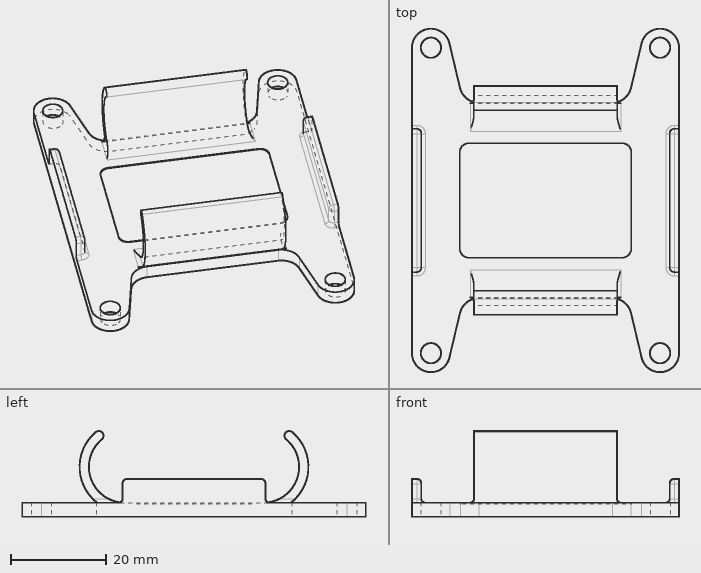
import cadquery as cq
import math

plate_thickness = 3.0
plate_width = 56.0
plate_length = 72.0
ear_radius = 4.0
hole_diameter = 4.2
hole_x = plate_width / 2 - ear_radius
hole_y = plate_length / 2 - ear_radius
waist_half_length = 20.5
waist_half_width = 14.0
waist_radius = 4.0

pocket_width = 36.0
pocket_length = 24.0
pocket_depth = 0.2
pocket_corner_radius = 2.0

clip_width = 30.0
clip_thickness = 2.0
clip_inner_radius = 7.5
clip_outer_radius = clip_inner_radius + clip_thickness
clip_mean_radius = clip_inner_radius + clip_thickness / 2
clip_reach = 24.0
clip_height = 18.03
clip_center_y = clip_reach - clip_outer_radius
clip_center_z = plate_thickness + clip_inner_radius
tip_rise = clip_height - clip_thickness / 2 - clip_center_z
tip_angle = math.asin(tip_rise / clip_mean_radius)

wall_length = 30.0
wall_thickness = 2.0
wall_top = 8.0
wall_rounding = 1.0

root_fillet = 0.8


def mirror_both_ways(solid):
    """Return the solid with its copies mirrored across X, Y and both."""
    pair = solid.union(solid.mirror("YZ"))
    return pair.union(pair.mirror("XZ"))


def make_plate():
    """Plate with four rounded ears and a waisted edge between them."""
    fillet_y = waist_half_length + waist_radius
    run = hole_x - waist_half_width
    rise = hole_y - fillet_y
    center_angle = math.atan2(rise, run)
    flank_angle = center_angle + math.asin((ear_radius + waist_radius) / math.hypot(run, rise))
    normal_x = math.sin(flank_angle)
    normal_y = math.cos(flank_angle)
    ear_tangent = (hole_x - ear_radius * normal_x, hole_y + ear_radius * normal_y)
    waist_tangent = (
        waist_half_width + waist_radius * normal_x,
        fillet_y - waist_radius * normal_y,
    )
    waist_mid_angle = (flank_angle - math.pi) / 2
    waist_mid = (
        waist_half_width + waist_radius * math.cos(waist_mid_angle),
        fillet_y + waist_radius * math.sin(waist_mid_angle),
    )
    quadrant = (
        cq.Workplane("XY")
        .lineTo(plate_width / 2, 0)
        .lineTo(plate_width / 2, hole_y)
        .threePointArc((hole_x, plate_length / 2), ear_tangent)
        .lineTo(*waist_tangent)
        .threePointArc(waist_mid, (waist_half_width, waist_half_length))
        .lineTo(0, waist_half_length)
        .close()
        .extrude(plate_thickness)
    )
    return mirror_both_ways(quadrant)


def add_side_walls(plate):
    """Upright walls flush with the plate sides, rounded inside and filleted at the root."""
    wall = (
        cq.Workplane("XY")
        .box(wall_thickness, wall_length, wall_top, centered=(False, True, False))
        .translate((plate_width / 2 - wall_thickness, 0, 0))
        .edges("|X and >Z")
        .fillet(wall_rounding)
        .faces("<X")
        .edges("not <Z")
        .fillet(wall_rounding)
    )
    body = plate.union(wall).union(wall.mirror("YZ"))
    root_margin = 0.1
    root_box_length = wall_length / 2 + root_margin
    for side in (-1, 1):
        inner_x = side * (plate_width / 2 - wall_thickness - root_margin)
        outer_x = side * (plate_width / 2 - root_margin)
        root_edges = cq.selectors.BoxSelector(
            (inner_x, -root_box_length, plate_thickness - root_margin),
            (outer_x, root_box_length, plate_thickness + root_margin),
        )
        body = body.edges("#Z").edges(root_edges).fillet(root_fillet)
    return body


def point_on_clip(radius, angle):
    """Return the (Y, Z) point at an angle around the clip axis, measured from +Y."""
    return (
        clip_center_y + radius * math.cos(angle),
        clip_center_z + radius * math.sin(angle),
    )


def make_clip_profile(width):
    """Curved strip, tangent to the plate top inside and round at its tip, extruded along X."""
    cap_center = point_on_clip(clip_mean_radius, tip_angle)
    cap_end = (
        cap_center[0] - clip_thickness / 2 * math.sin(tip_angle),
        cap_center[1] + clip_thickness / 2 * math.cos(tip_angle),
    )
    return (
        cq.Workplane("YZ")
        .moveTo(*point_on_clip(clip_inner_radius, -math.pi / 2))
        .threePointArc(point_on_clip(clip_inner_radius, 0), point_on_clip(clip_inner_radius, tip_angle))
        .threePointArc(cap_end, point_on_clip(clip_outer_radius, tip_angle))
        .threePointArc(point_on_clip(clip_outer_radius, 0), point_on_clip(clip_outer_radius, -math.pi / 2))
        .close()
        .extrude(width / 2, both=True)
    )


def make_clip():
    """Clip whose end faces flare out to the plate through concave fillets."""
    half_width = clip_width / 2
    foot_half_width = half_width + root_fillet
    fillet_top = plate_thickness + root_fillet
    fillet_mid = root_fillet * (1 - math.sqrt(0.5))
    mid_z = plate_thickness + fillet_mid
    foot = (
        cq.Workplane("XZ")
        .moveTo(-foot_half_width, 0)
        .lineTo(-foot_half_width, plate_thickness)
        .threePointArc((-half_width - fillet_mid, mid_z), (-half_width, fillet_top))
        .lineTo(half_width, fillet_top)
        .threePointArc((half_width + fillet_mid, mid_z), (foot_half_width, plate_thickness))
        .lineTo(foot_half_width, 0)
        .close()
        .extrude(-clip_reach)
    )
    flare = foot.intersect(make_clip_profile(2 * foot_half_width))
    return make_clip_profile(clip_width).union(flare)


def make_pocket():
    """Round-cornered recess to cut from the middle of the plate top."""
    return (
        cq.Workplane("XY")
        .workplane(offset=plate_thickness - pocket_depth)
        .rect(pocket_width, pocket_length)
        .extrude(pocket_depth)
        .edges("|Z")
        .fillet(pocket_corner_radius)
    )


def make_holes():
    """Four through holes, one at the centre of each ear."""
    hole = cq.Workplane("XY").center(hole_x, hole_y).circle(hole_diameter / 2).extrude(plate_thickness)
    return mirror_both_ways(hole)


clip = make_clip()
body = add_side_walls(make_plate())
body = body.union(clip).union(clip.mirror("XZ"))
result = body.cut(make_pocket()).cut(make_holes())